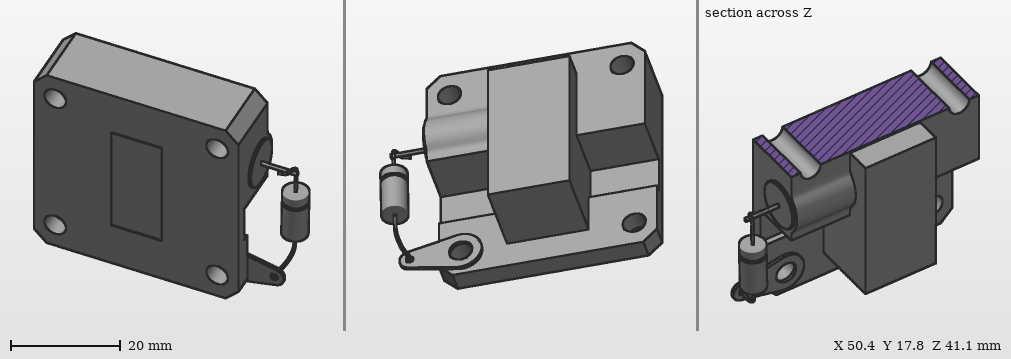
import cadquery as cq
import math

flange_side = 41.15
corner_chamfer = 2.55
housing_depth = 12.65
flange_center = flange_side / 2

flange_thickness = 3.9
slot_thickness = 2.55
slot_bottom = 13.2
slot_top = 20.8

block_width = 15.4
block_depth = 17.75
block_bottom = 5.35
block_top = 35.8

window_width = 10.15
window_height = 22.7
window_recess = 0.2

hole_radius = 2.15
hole_spacing_x = 32.55
hole_spacing_z = 31.0
lug_hole_x = flange_center + hole_spacing_x / 2
lug_hole_z = flange_center - hole_spacing_z / 2

pin_y = 9.1
pin_z = 26.9
pin_radius = 0.38
pin_end = 48.8
disc_radius = 4.8
disc_thickness = 0.45
disc_chamfer = 0.2
boss_radius = 5.5
boss_fillet = 2.35

lug_thickness = 0.65
lug_big_radius = 3.95
lug_tip_radius = 1.9
lug_tip_x = 46.5
lug_eye_radius = 0.7

can_radius = 2.5
can_y = 10.2
can_bottom = 11.25
can_top = 21.5
can_length = can_top - can_bottom
can_edge_fillet = 0.1
can_tilt = 1.0
can_max_x = 50.45
groove_height = 7.9
groove_radius = 0.25
lead_radius = 0.25
lead_straight = 2.5
hook_reach = 2.7
wire_clearance = 0.05


def box(x_range, y_range, z_range):
    """Box between the given limits along each axis."""
    lows, highs = zip(x_range, y_range, z_range)
    sizes = [high - low for low, high in zip(lows, highs)]
    return cq.Workplane("XY").box(*sizes, centered=False).translate(lows)


def cylinder_y(x, z, radius, y_start, y_end):
    """Cylinder along Y."""
    base = cq.Vector(x, y_start, z)
    return cq.Workplane(cq.Solid.makeCylinder(radius, y_end - y_start, base, cq.Vector(0, 1, 0)))


def cylinder_x(radius, x_start, x_end):
    """Cylinder along X on the axis of the feedthrough."""
    base = cq.Vector(x_start, pin_y, pin_z)
    return cq.Workplane(cq.Solid.makeCylinder(radius, x_end - x_start, base, cq.Vector(1, 0, 0)))


def make_boss(x_start):
    """Round boss above the back face, blended into it by a concave fillet on both sides."""
    rise = housing_depth - pin_y
    fillet_offset = math.sqrt((boss_radius + boss_fillet) ** 2 - (rise + boss_fillet) ** 2)
    blend = boss_radius / (boss_radius + boss_fillet)
    tangent_z = fillet_offset * blend
    tangent_y = (rise + boss_fillet) * blend
    middle_angle = (math.pi / 2 + math.atan2(rise + boss_fillet, fillet_offset)) / 2
    middle_z = fillet_offset - boss_fillet * math.cos(middle_angle)
    middle_y = rise + boss_fillet - boss_fillet * math.sin(middle_angle)
    return (
        cq.Workplane("YZ", origin=(x_start, pin_y, pin_z))
        .moveTo(rise, -fillet_offset)
        .threePointArc((middle_y, -middle_z), (tangent_y, -tangent_z))
        .threePointArc((boss_radius, 0), (tangent_y, tangent_z))
        .threePointArc((middle_y, middle_z), (rise, fillet_offset))
        .lineTo(0, fillet_offset)
        .lineTo(0, -fillet_offset)
        .close()
        .extrude(flange_side - x_start)
    )


def make_housing():
    full_width = (0, flange_side)
    body = box(full_width, (0, housing_depth), full_width).edges("|Y").chamfer(corner_chamfer)
    body = body.cut(box(full_width, (flange_thickness, housing_depth), (0, slot_top)))
    body = body.cut(box(full_width, (slot_thickness, housing_depth), (slot_bottom, slot_top)))

    block_left = flange_center - block_width / 2
    block_right = flange_center + block_width / 2
    body = body.union(make_boss(block_right))
    body = body.union(box((block_left, block_right), (slot_thickness, block_depth), (block_bottom, block_top)))

    window = (
        cq.Workplane("XZ", origin=(flange_center, 0, flange_center))
        .rect(window_width, window_height)
        .extrude(-window_recess)
    )
    body = body.cut(window)
    for side_x in (-1, 1):
        for side_z in (-1, 1):
            hole_x = flange_center + side_x * hole_spacing_x / 2
            hole_z = flange_center + side_z * hole_spacing_z / 2
            body = body.cut(cylinder_y(hole_x, hole_z, hole_radius, 0, housing_depth))
    return body


def make_feedthrough():
    """Glass disc on the side of the housing with a pin through its middle."""
    disc_face = flange_side + disc_thickness
    disc = cylinder_x(disc_radius, flange_side, disc_face).faces(">X").edges().chamfer(disc_chamfer)
    return disc.union(cylinder_x(pin_radius, flange_side, pin_end))


def make_lug():
    """Tapered solder lug: two round ends joined by their common tangents."""
    length = lug_tip_x - lug_hole_x
    lean = math.asin((lug_big_radius - lug_tip_radius) / length)
    along, across = math.sin(lean), math.cos(lean)
    big_tangent = (lug_big_radius * along, lug_big_radius * across)
    tip_tangent = (length + lug_tip_radius * along, lug_tip_radius * across)
    lug = (
        cq.Workplane("XZ", origin=(lug_hole_x, flange_thickness, lug_hole_z))
        .moveTo(*big_tangent)
        .lineTo(*tip_tangent)
        .threePointArc((length + lug_tip_radius, 0), (tip_tangent[0], -tip_tangent[1]))
        .lineTo(big_tangent[0], -big_tangent[1])
        .threePointArc((-lug_big_radius, 0), big_tangent)
        .close()
        .extrude(-lug_thickness)
    )
    lug_back = flange_thickness + lug_thickness
    lug = lug.cut(cylinder_y(lug_hole_x, lug_hole_z, hole_radius, flange_thickness, lug_back))
    return lug.cut(cylinder_y(lug_tip_x, lug_hole_z, lug_eye_radius, flange_thickness, lug_back))


def make_lead(start, direction, straight_length, bend_points, end_direction):
    """Round wire that leaves the can straight and then follows a smooth bend."""
    bend_start = start + direction * straight_length
    straight = cq.Edge.makeLine(start, bend_start)
    points = [bend_start] + [cq.Vector(*point) for point in bend_points]
    bend = cq.Edge.makeSpline(points, tangents=[direction, cq.Vector(*end_direction)])
    path = cq.Wire.assembleEdges([straight, bend])
    profile = cq.Workplane(cq.Plane(origin=start, normal=direction)).circle(lead_radius)
    return profile.sweep(cq.Workplane(path))


def make_capacitor():
    """Grooved round can, leaning slightly, with a wire at each end."""
    tilt = math.radians(can_tilt)
    axis = cq.Vector(math.sin(tilt), 0, math.cos(tilt))
    top_x = can_max_x - can_radius * math.cos(tilt)
    top = cq.Vector(top_x, can_y, can_top)
    bottom = top - axis * can_length

    can = cq.Workplane(cq.Solid.makeCylinder(can_radius, can_length, bottom, axis))
    can = can.edges("%CIRCLE").fillet(can_edge_fillet)
    groove = cq.Solid.makeTorus(can_radius, groove_radius, bottom + axis * groove_height, axis)
    can = can.cut(cq.Workplane(groove))

    wrap_radius = pin_radius + lead_radius + wire_clearance
    behind_pin = (top_x, pin_y + 0.65, pin_z + 0.4)
    over_pin = (top_x - 0.15, pin_y, pin_z + wrap_radius)
    front_of_pin = (top_x - 0.9, pin_y - wrap_radius, pin_z + 0.15)
    hook_end = (top_x - hook_reach, pin_y - 0.55, pin_z - 0.6)
    hook_points = [behind_pin, over_pin, front_of_pin, hook_end]
    top_lead = make_lead(top, axis, lead_straight, hook_points, (-1, 0.1, -0.4))

    eye_z = lug_hole_z + lug_eye_radius - lead_radius - wire_clearance
    bend_low = (bottom.x - 0.35, can_y - 2.3, eye_z + 0.7)
    near_lug = (lug_tip_x + 0.5, flange_thickness + 2.15, eye_z + 0.2)
    eye_end = (lug_tip_x, flange_thickness, eye_z)
    bottom_lead = make_lead(bottom, -axis, lead_straight, [bend_low, near_lug, eye_end], (0, -1, 0))
    return can.union(top_lead).union(bottom_lead)


housing = make_housing()
feedthrough = make_feedthrough()
lug = make_lug()
capacitor = make_capacitor()

bodies = [housing, feedthrough, lug, capacitor]
result = cq.Compound.makeCompound([body.solids().val() for body in bodies])